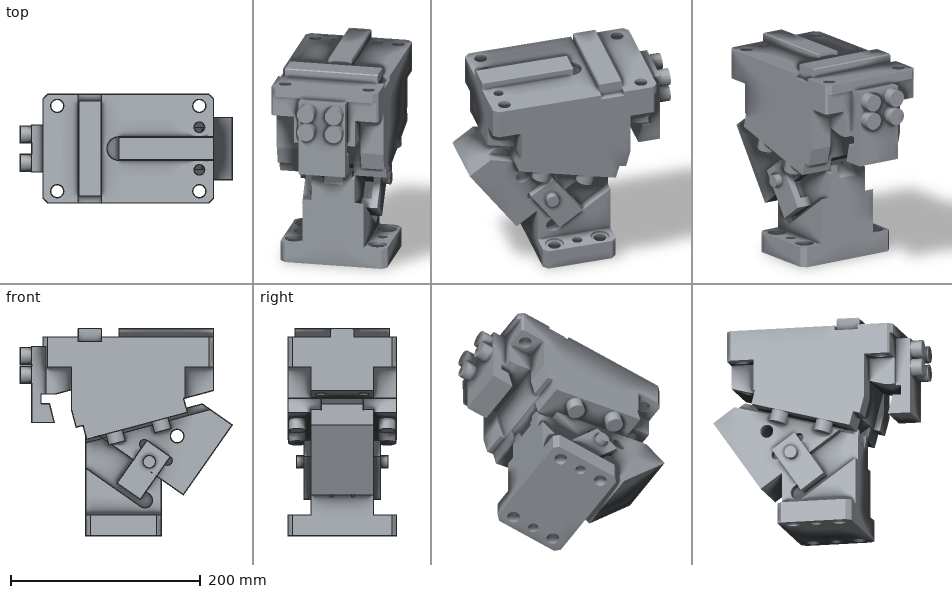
import cadquery as cq
import math

FULL_WIDTH = 115
WEB_WIDTH = 66
CORNER_CHAMFER = 5
BOLT_HOLE_DIA = 13.5
DOWEL_HOLE_DIA = 11
HOLE_Y = 45
BOLT_HEAD_DIA = 18
BOLT_HEAD_HEIGHT = 12
FAR = 300

BASE_LENGTH = 80
FLANGE_HEIGHT = 22
BASE_TOP_Z = 105
BASE_TONGUE_WIDTH = 40
BASE_BOLT_X = (15, 65)
BASE_DOWEL_X = 40
CBORE_DIA = 20
CBORE_DEPTH = 2

RAMP_ANGLE = math.radians(35)
RAMP_START_Z = 115.5

NECK_WIDTH = 46
RAIL_START = 67
RAIL_THICKNESS = 20
SLOT_HEIGHT = 16
SLOT_END_CENTRE = 96
RECESS_DEPTH = RAIL_THICKNESS + SLOT_HEIGHT

GUIDE_SLOT_WIDTH = 26
GUIDE_SLOT_DEPTH = 15
RIDGE_WIDTH = 20
RIDGE_START = 14
KEY_SIDE_START = 15
KEY_END = 97
RIDGE_PEAK_DEPTH = 5
RIDGE_EAVE_DEPTH = 11
GUIDE_NOTCH_DEPTH = 20
KEY_SIDE_DEPTH = 8
PEAK_RELIEF_WIDTH = 3
PEAK_RELIEF_HEIGHT = 1.5

SLIDE_ANGLE = math.radians(15)
SLIDE_START = (1.1, 101.9)
GIB_LENGTH = 110
GIB_THICKNESS = 15
GIB_CHANNEL_WIDTH = 45
GIB_BOLT_U = (30, 80)
GIB_BOLT_Y = 47.5

SLIDER_LENGTH = 125.9
SLIDER_THICKNESS = 90
SHOULDER_LEVEL = -3.5
TONGUE_LEVEL = 4.5
TONGUE_WIDTH = 44
CROSS_HOLE_DIA = 14
CROSS_HOLE_AT = (85, 47)

HOOK_START = 61.5
HOOK_END = 91.5
HOOK_RISE = 25
HOOK_DROP = 30
HOOK_OUTER_Y = 40.5
RELIEF_RADIUS = 5
PIN_DIA = 13
PIN_LENGTH = 8
PIN_RISE = 8

HOUSING_TOP_Z = 210
HOUSING_X = (-45, 135)
PLATE_BOTTOM_Z = 178
BLOCK_X = (-15, 105)
BLOCK_FOOT_U = -7.5
MIDDLE_FOOT_U = -1
STOP_SEAT_X = -42
STOP_SEAT_Z = 200
NOSE_BOTTOM_Z = 149.5
NOSE_FLAT_END_X = -32
HOUSING_BOLT_X = (-30, 120)
HOUSING_DOWEL_X = 120
HOUSING_DOWEL_Y = 22.5

KEY_WIDTH = 25
KEYWAY_DEPTH = 5
KEY_TOP_Z = 219
KEY_CHAMFER = 1
CROSS_KEY_X = (-8, 17)
CROSS_KEY_LENGTH = 100
LONG_KEY_START_X = 35

STOP_WIDTH = 50
STOP_THICKNESS = 15
STOP_BOTTOM_Z = 119.5
STOP_NOTCH_X = -47
STOP_JAW_Z = 139.5
STOP_JAW_TOP_X = -38
STOP_JAW_TIP_X = -33
STOP_BOLT_Y = 15
STOP_BOLT_Z = (170, 190)

SIDES = (-1, 1)


def on_ramp(along, rise):
    """(x, z) of a point given along the ramp and square to it, upward."""
    x = along * math.cos(RAMP_ANGLE) + rise * math.sin(RAMP_ANGLE)
    z = RAMP_START_Z - along * math.sin(RAMP_ANGLE) + rise * math.cos(RAMP_ANGLE)
    return (x, z)


def on_slide(along, rise):
    """(x, z) of a point given along the slideway and square to it, upward."""
    x = SLIDE_START[0] + along * math.cos(SLIDE_ANGLE) - rise * math.sin(SLIDE_ANGLE)
    z = SLIDE_START[1] + along * math.sin(SLIDE_ANGLE) + rise * math.cos(SLIDE_ANGLE)
    return (x, z)


def slide_z(x, rise):
    """Height at x of the line that runs parallel to the slideway."""
    foot_x, foot_z = on_slide(0, rise)
    return foot_z + (x - foot_x) * math.tan(SLIDE_ANGLE)


def prism(points, y_start, y_end):
    """Side outline in X and Z, extruded between two Y positions."""
    outline = cq.Workplane("XZ", origin=(0, y_start, 0)).polyline(points).close()
    return outline.extrude(y_start - y_end)


def centred_prism(points, width):
    return prism(points, -width / 2, width / 2)


def side_prism(points, side, y_inner, y_outer):
    """Prism on the -Y or +Y side of the mid plane."""
    return prism(points, *sorted((side * y_inner, side * y_outer)))


def block(x_range, width, z_range):
    length = x_range[1] - x_range[0]
    height = z_range[1] - z_range[0]
    corner = cq.Workplane("XY").box(length, width, height, centered=(False, True, False))
    return corner.translate((x_range[0], 0, z_range[0]))


def rectangle(frame, along_range, rise_range):
    """Corners of a rectangle in a tilted frame."""
    (a0, a1), (r0, r1) = along_range, rise_range
    return [frame(a0, r0), frame(a1, r0), frame(a1, r1), frame(a0, r1)]


def cross_cylinder(centre, diameter, y_start, y_end):
    """Cylinder parallel to Y."""
    start = cq.Workplane("XZ", origin=(centre[0], y_start, centre[1]))
    return start.circle(diameter / 2).extrude(y_start - y_end)


def vertical_holes(diameter, x_positions, y, z_range):
    places = [(x, side * y) for x in x_positions for side in SIDES]
    start = cq.Workplane("XY").workplane(offset=z_range[0]).pushPoints(places)
    return start.circle(diameter / 2).extrude(z_range[1] - z_range[0])


def ramp_guide(eave_depth, peak_depth, floor_depth, start):
    """Roof-shaped bar that runs down the ramp; all depths are below the ramp."""
    half = RIDGE_WIDTH / 2
    origin_x, origin_z = on_ramp(start, 0)
    down_ramp = (math.cos(RAMP_ANGLE), 0, -math.sin(RAMP_ANGLE))
    section = cq.Workplane(cq.Plane((origin_x, 0, origin_z), xDir=(0, 1, 0), normal=down_ramp))
    roof = [(-half, -floor_depth), (half, -floor_depth), (half, -eave_depth), (0, -peak_depth),
            (-half, -eave_depth)]
    return section.polyline(roof).close().extrude(SLIDER_LENGTH - start)


def base_flange_holes():
    z_range = (0, FLANGE_HEIGHT)
    bolts = vertical_holes(BOLT_HOLE_DIA, BASE_BOLT_X, HOLE_Y, z_range)
    seats = vertical_holes(CBORE_DIA, BASE_BOLT_X, HOLE_Y, (FLANGE_HEIGHT - CBORE_DEPTH, FLANGE_HEIGHT))
    dowels = vertical_holes(DOWEL_HOLE_DIA, (BASE_DOWEL_X,), HOLE_Y, z_range)
    return bolts.union(seats).union(dowels)


def base_side_recess(side):
    """Open recess above the rail start and the round-ended hook slot under the rail."""
    y_range = (NECK_WIDTH / 2, WEB_WIDTH / 2)
    recess = side_prism(rectangle(on_ramp, (-FAR, RAIL_START), (-RECESS_DEPTH, FAR)), side, *y_range)
    slot_range = (-RECESS_DEPTH, -RAIL_THICKNESS)
    slot = side_prism(rectangle(on_ramp, (0, SLOT_END_CENTRE), slot_range), side, *y_range)
    end_centre = on_ramp(SLOT_END_CENTRE, -RAIL_THICKNESS - SLOT_HEIGHT / 2)
    slot_end = cross_cylinder(end_centre, SLOT_HEIGHT, *sorted(side * y for y in y_range))
    return recess.union(slot).union(slot_end)


def make_base():
    flange = block((0, BASE_LENGTH), FULL_WIDTH, (0, FLANGE_HEIGHT))
    flange = flange.edges("|Z").chamfer(CORNER_CHAMFER).cut(base_flange_holes())
    web = block((0, BASE_LENGTH), WEB_WIDTH, (0, BASE_TOP_Z))
    web = web.cut(centred_prism(rectangle(on_ramp, (-FAR, FAR), (0, FAR)), FULL_WIDTH))
    above_shoulder = rectangle(on_slide, (-FAR, FAR), (SHOULDER_LEVEL, FAR))
    for side in SIDES:
        web = web.cut(base_side_recess(side))
        web = web.cut(side_prism(above_shoulder, side, BASE_TONGUE_WIDTH / 2, FULL_WIDTH / 2))
    guide_slot = rectangle(on_ramp, (-FAR, FAR), (-GUIDE_SLOT_DEPTH, FAR))
    web = web.cut(centred_prism(guide_slot, GUIDE_SLOT_WIDTH))
    ridge = ramp_guide(RIDGE_EAVE_DEPTH, RIDGE_PEAK_DEPTH, GUIDE_NOTCH_DEPTH, RIDGE_START)
    web = web.union(ridge.intersect(block((0, BASE_LENGTH), WEB_WIDTH, (0, BASE_TOP_Z))))
    notch = rectangle(on_ramp, (-FAR, RIDGE_START), (-GUIDE_NOTCH_DEPTH, FAR))
    web = web.cut(centred_prism(notch, RIDGE_WIDTH))
    return flange.union(web)


def slider_layer(width, level, slide_end):
    """Part of the tilted block of one width that stays below one slideway level."""
    tilted = centred_prism(rectangle(on_ramp, (-FAR, SLIDER_LENGTH), (0, SLIDER_THICKNESS)), width)
    return tilted.intersect(centred_prism(rectangle(on_slide, (-FAR, slide_end), (-FAR, level)), width))


def slider_key():
    """Key under the slider that straddles the ridge of the base."""
    sides = rectangle(on_ramp, (KEY_SIDE_START, KEY_END), (-KEY_SIDE_DEPTH, 0))
    middle = rectangle(on_ramp, (RIDGE_START, KEY_END), (-RIDGE_EAVE_DEPTH, 0))
    key = centred_prism(sides, GUIDE_SLOT_WIDTH).union(centred_prism(middle, RIDGE_WIDTH))
    key = key.cut(ramp_guide(RIDGE_EAVE_DEPTH, RIDGE_PEAK_DEPTH, GUIDE_NOTCH_DEPTH, RIDGE_START))
    relief_top = PEAK_RELIEF_HEIGHT - RIDGE_PEAK_DEPTH
    relief = rectangle(on_ramp, (RIDGE_START, KEY_END), (-RIDGE_EAVE_DEPTH, relief_top))
    return key.cut(centred_prism(relief, PEAK_RELIEF_WIDTH))


def hook_plate(side):
    """Plate let into the slider side, with a foot in the base slot and a pin outside."""
    span = (HOOK_START, HOOK_END)
    inner_y, web_y = NECK_WIDTH / 2, WEB_WIDTH / 2
    plate = side_prism(rectangle(on_ramp, span, (-HOOK_DROP, HOOK_RISE)), side, web_y, HOOK_OUTER_Y)
    root = side_prism(rectangle(on_ramp, span, (0, HOOK_RISE)), side, inner_y, web_y)
    foot = side_prism(rectangle(on_ramp, span, (-HOOK_DROP, -RAIL_THICKNESS)), side, inner_y, web_y)
    pin_centre = on_ramp((HOOK_START + HOOK_END) / 2, PIN_RISE)
    pin_y = sorted((side * HOOK_OUTER_Y, side * (HOOK_OUTER_Y + PIN_LENGTH)))
    pin = cross_cylinder(pin_centre, PIN_DIA, *pin_y)
    return plate.union(root).union(foot).union(pin)


def make_slider():
    slider = slider_layer(WEB_WIDTH, SHOULDER_LEVEL, FAR)
    slider = slider.union(slider_layer(TONGUE_WIDTH, TONGUE_LEVEL, FAR))
    slider = slider.union(slider_layer(TONGUE_WIDTH, GIB_THICKNESS, GIB_LENGTH))
    slider = slider.union(slider_key())
    hole_centre = on_ramp(*CROSS_HOLE_AT)
    slider = slider.cut(cross_cylinder(hole_centre, CROSS_HOLE_DIA, -WEB_WIDTH / 2, WEB_WIDTH / 2))
    for side in SIDES:
        relief_y = sorted((side * NECK_WIDTH / 2, side * WEB_WIDTH / 2))
        for along in (HOOK_START, HOOK_END):
            centre = on_ramp(along, HOOK_RISE - RELIEF_RADIUS)
            slider = slider.cut(cross_cylinder(centre, 2 * RELIEF_RADIUS, *relief_y))
        slider = slider.union(hook_plate(side))
    return slider


def housing_shell():
    left, right = HOUSING_X
    plate = block(HOUSING_X, FULL_WIDTH, (PLATE_BOTTOM_Z, HOUSING_TOP_Z)).edges("|Z").chamfer(CORNER_CHAMFER)
    plate = plate.cut(block((left, STOP_SEAT_X), FULL_WIDTH, (PLATE_BOTTOM_Z, STOP_SEAT_Z)))

    block_left, block_right = BLOCK_X
    foot = on_slide(BLOCK_FOOT_U, GIB_THICKNESS)
    lean_z = foot[1] + (foot[0] - block_left) / math.tan(SLIDE_ANGLE)
    wide = centred_prism([(block_left, PLATE_BOTTOM_Z), (block_left, lean_z), foot,
                          (block_right, slide_z(block_right, GIB_THICKNESS)),
                          (block_right, PLATE_BOTTOM_Z)], FULL_WIDTH)
    inner_foot = on_slide(MIDDLE_FOOT_U, GIB_THICKNESS)
    nose_slope = math.tan(SLIDE_ANGLE)
    nose_rise = NOSE_BOTTOM_Z - NOSE_FLAT_END_X * nose_slope
    corner_x = (inner_foot[1] + inner_foot[0] / nose_slope - nose_rise) / (nose_slope + 1 / nose_slope)
    nose_corner = (corner_x, nose_rise + corner_x * nose_slope)
    middle = centred_prism([(STOP_SEAT_X, PLATE_BOTTOM_Z), (STOP_SEAT_X, NOSE_BOTTOM_Z),
                            (NOSE_FLAT_END_X, NOSE_BOTTOM_Z), nose_corner, inner_foot,
                            (right, slide_z(right, GIB_THICKNESS)), (right, PLATE_BOTTOM_Z)], WEB_WIDTH)
    wide = wide.cut(block((-FAR, FAR), WEB_WIDTH, (0, PLATE_BOTTOM_Z)))
    return plate.union(wide).union(middle)


def gib(side):
    """Retaining strip under the block with its two bolt heads."""
    outline = rectangle(on_slide, (0, GIB_LENGTH), (0, GIB_THICKNESS))
    strip = side_prism(outline, side, GIB_CHANNEL_WIDTH / 2, FULL_WIDTH / 2)
    downward = cq.Vector(math.sin(SLIDE_ANGLE), 0, -math.cos(SLIDE_ANGLE))
    for along in GIB_BOLT_U:
        x, z = on_slide(along, 0)
        seat = cq.Vector(x, side * GIB_BOLT_Y, z)
        head = cq.Solid.makeCylinder(BOLT_HEAD_DIA / 2, BOLT_HEAD_HEIGHT, seat, downward)
        strip = strip.union(cq.Workplane(head))
    return strip


def add_keys(housing):
    """Cut both keyways into the top face and set a key into each."""
    keyway_z = HOUSING_TOP_Z - KEYWAY_DEPTH
    right = HOUSING_X[1]
    housing = housing.cut(block(CROSS_KEY_X, FULL_WIDTH, (keyway_z, KEY_TOP_Z)))
    housing = housing.cut(block((LONG_KEY_START_X, right), KEY_WIDTH, (keyway_z, KEY_TOP_Z)))
    round_end = cq.Workplane("XY", origin=(LONG_KEY_START_X, 0, keyway_z)).circle(KEY_WIDTH / 2)
    housing = housing.cut(round_end.extrude(KEYWAY_DEPTH))
    cross_key = block(CROSS_KEY_X, CROSS_KEY_LENGTH, (keyway_z, KEY_TOP_Z))
    long_key = block((LONG_KEY_START_X, right), KEY_WIDTH, (keyway_z, KEY_TOP_Z))
    housing = housing.union(cross_key.faces(">Z").edges("|Y").chamfer(KEY_CHAMFER))
    return housing.union(long_key.faces(">Z").edges("|X").chamfer(KEY_CHAMFER))


def stop_plate():
    """Hooked plate on the end of the housing with four bolt heads."""
    outer_x = STOP_SEAT_X - STOP_THICKNESS
    plate = centred_prism([(outer_x, STOP_SEAT_Z), (STOP_SEAT_X, STOP_SEAT_Z), (STOP_SEAT_X, NOSE_BOTTOM_Z),
                           (STOP_NOTCH_X, NOSE_BOTTOM_Z), (STOP_NOTCH_X, STOP_JAW_Z),
                           (STOP_JAW_TOP_X, STOP_JAW_Z), (STOP_JAW_TIP_X, STOP_BOTTOM_Z),
                           (outer_x, STOP_BOTTOM_Z)], STOP_WIDTH)
    places = [(side * STOP_BOLT_Y, z) for side in SIDES for z in STOP_BOLT_Z]
    heads = cq.Workplane("YZ", origin=(outer_x, 0, 0)).pushPoints(places)
    return plate.union(heads.circle(BOLT_HEAD_DIA / 2).extrude(-BOLT_HEAD_HEIGHT))


def make_housing():
    housing = housing_shell()
    plate_z = (PLATE_BOTTOM_Z, HOUSING_TOP_Z)
    housing = housing.cut(vertical_holes(BOLT_HOLE_DIA, HOUSING_BOLT_X, HOLE_Y, plate_z))
    dowel_z = (0, HOUSING_TOP_Z)
    housing = housing.cut(vertical_holes(DOWEL_HOLE_DIA, (HOUSING_DOWEL_X,), HOUSING_DOWEL_Y, dowel_z))
    for side in SIDES:
        housing = housing.union(gib(side))
    return add_keys(housing).union(stop_plate())


base = make_base()
slider = make_slider()
housing = make_housing()
result = cq.Compound.makeCompound([base.val(), slider.val(), housing.val()])